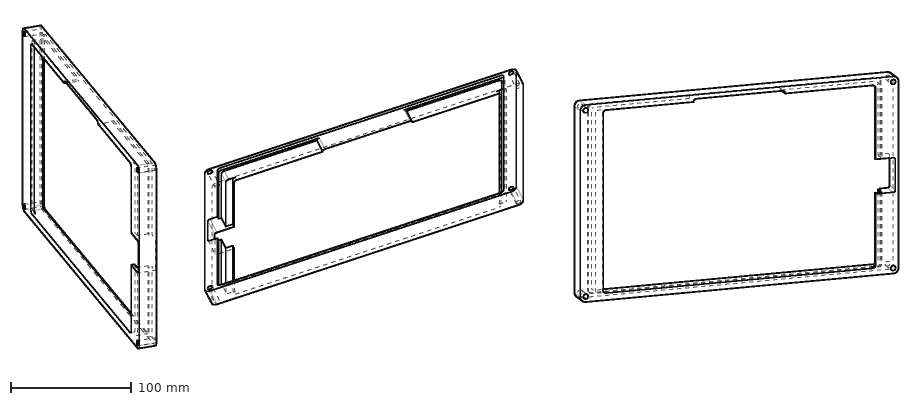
import cadquery as cq

width = 280.0
depth = 15.0
height = 170.0
outer_radius = 4.8

side_border = 20.2
rail_border = 6.2
window_width = width - 2 * side_border
window_height = height - 2 * rail_border
window_radius = 2.5

skin_thickness = 3.0
side_undercut = 6.2
cavity_width = window_width + 2 * side_undercut
cavity_radius = 2.5

rebate_depth = 2.5
rebate_width = 2.5

side_notch_height = 29.7
side_notch_wall = 2.8

top_notch_width = 80.5
top_notch_depth = 2.5
notch_radius = 2.0

hole_diameter = 4.2
hole_inset = 4.8


def block(x_size, z_size, front=0.0, x_center=0.0, z_center=0.0):
    """Block centred in X and Z that runs from the given Y to the back face."""
    return (
        cq.Workplane("XY")
        .box(x_size, depth - front, z_size, centered=(True, False, True))
        .translate((x_center, front, z_center))
    )


def make_body():
    return block(width, height).edges("|Y").fillet(outer_radius)


def make_window():
    return block(window_width, window_height).edges("|Y").fillet(window_radius)


def make_cavity():
    cavity = block(cavity_width, window_height, front=skin_thickness)
    return cavity.edges("|Y").fillet(cavity_radius)


def make_rebate():
    rebate = block(
        cavity_width + 2 * rebate_width,
        window_height + 2 * rebate_width,
        front=depth - rebate_depth,
    )
    return rebate.edges("|Y").fillet(cavity_radius)


def make_side_notch():
    """Cutter from the window centre to the thin wall left at the right side."""
    reach = width / 2 - side_notch_wall
    cutter = block(reach, side_notch_height, x_center=reach / 2)
    return cutter.edges("|Y and >X").fillet(notch_radius)


def make_top_notch():
    """Cutter from the window centre to just above the window's top edge."""
    reach = window_height / 2 + top_notch_depth
    cutter = block(top_notch_width, reach, z_center=reach / 2)
    return cutter.edges("|Y and >Z").fillet(notch_radius)


def make_screw_holes():
    return (
        cq.Workplane("XZ")
        .rect(width - 2 * hole_inset, height - 2 * hole_inset, forConstruction=True)
        .vertices()
        .circle(hole_diameter / 2)
        .extrude(-depth)
    )


result = (
    make_body()
    .cut(make_window())
    .cut(make_cavity())
    .cut(make_rebate())
    .cut(make_side_notch())
    .cut(make_top_notch())
    .cut(make_screw_holes())
)